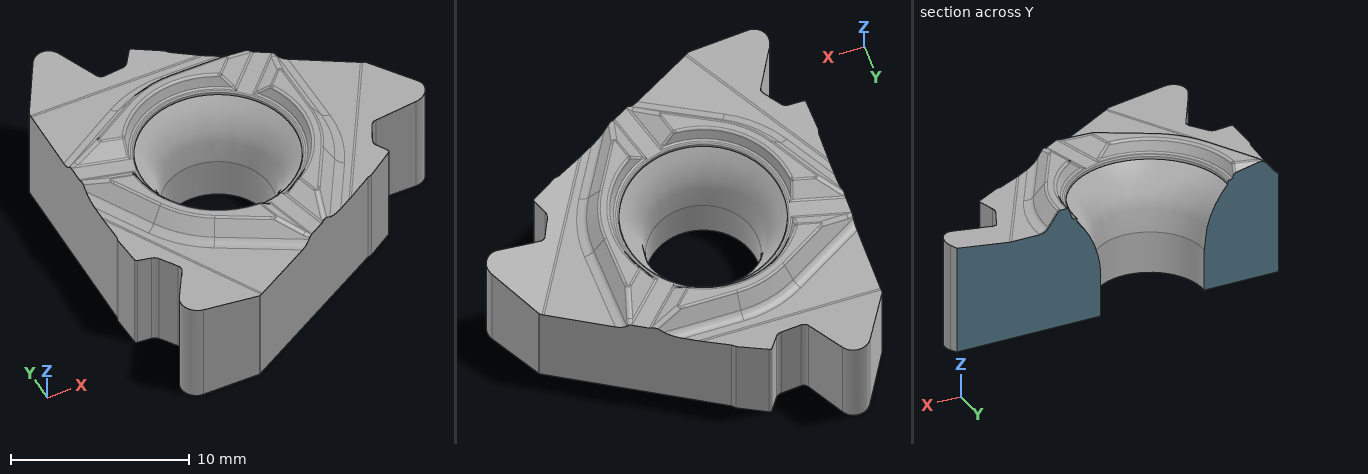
import cadquery as cq
import math


CORNERS = 3
CORNER_STEP = 360 / CORNERS
HEIGHT = 7.5
INSCRIBED_RADIUS = 15.875 / 2
BLANK_RADIUS = 16.0

SIDE_NORMAL = 60
OUTER_FLANK_NORMAL = 30
OUTER_FLANK_DISTANCE = 10.77
INNER_FLANK_NORMAL = -90
INNER_FLANK_DISTANCE = 1.483
TIP_RADIUS = 0.945
VALLEY_MOUTH_X = 8.88
VALLEY_MOUTH_RADIUS = 0.4
VALLEY_BOTTOM = (8.17, -3.02)
VALLEY_BOTTOM_RADIUS = 0.5
LAND_TIP_DISTANCE = 7.91
LAND_TIP_ALONG = 5.46
LAND_TIP_RADIUS = 0.15
LAND_START_DISTANCE = 8.01
LAND_START_ALONG = 3.46
LAND_RAMP_ALONG = 3.19

FLOOR_Z = 6.25
RAKE_NORMAL = -30
RAKE_START = 7.57
RAKE_ANGLE = 9
RAKE_OVERLAP = 0.25
RAKE_BLEND_LENGTH = 0.06

BREAKER_START_NORMAL = -30
BREAKER_END_NORMAL = 1.6
BREAKER_FOOT_RADIUS = 6.74
BREAKER_WALL_ANGLE = 55
BREAKER_FOOT_FILLET = 0.68
BREAKER_TOP_FILLET = 0.18

SLOT_FLOOR_Z = 6.72
SLOT_FLOOR_HALF_WIDTH = 0.55
SLOT_WALL_ANGLE = 40
SLOT_FOOT_ROUND = 0.2
SLOT_DIRECTION = (BREAKER_END_NORMAL + BREAKER_START_NORMAL + CORNER_STEP) / 2
SLOT_OUTER_FILLET = 0.25
SLOT_INNER_FILLET = 0.15
STEP_FOOT_RADIUS = 5.0
STEP_TOP_RADIUS = 5.28
STEP_FOOT_ROUND = 0.13

HOLE_RADIUS = 6.5 / 2
SEAT_ARC_RADIUS = 5.8
SEAT_MOUTH_RADIUS = 4.72
SEAT_MOUTH_Z = 6.47
COLLAR_EDGE_ROUND = 0.08

LEVEL_TOLERANCE = 0.01
CLEARANCE = 1.0


def polar(distance, angle):
    """Point at a distance from the axis in the given direction in degrees."""
    return (distance * math.cos(math.radians(angle)), distance * math.sin(math.radians(angle)))


def turned(point, angle):
    """Point turned about the origin by an angle in degrees."""
    c, s = polar(1, angle)
    return (point[0] * c - point[1] * s, point[0] * s + point[1] * c)


def line_crossing(normal_a, distance_a, normal_b, distance_b):
    """Crossing of two lines, each given by its normal direction and distance from the axis."""
    ax, ay = polar(1, normal_a)
    bx, by = polar(1, normal_b)
    det = ax * by - ay * bx
    return ((distance_a * by - distance_b * ay) / det, (ax * distance_b - bx * distance_a) / det)


def rounded_outline(plane, corners):
    """Closed wire through (point, radius) corners, each rounded by its own radius."""
    pieces = []
    for i, (point, radius) in enumerate(corners):
        here = cq.Vector(*point)
        if radius == 0:
            pieces.append([here])
            continue
        back = (cq.Vector(*corners[i - 1][0]) - here).normalized()
        ahead = (cq.Vector(*corners[(i + 1) % len(corners)][0]) - here).normalized()
        half_angle = back.getAngle(ahead) / 2
        tangent_length = radius / math.tan(half_angle)
        bisector = (back + ahead).normalized()
        middle = here + bisector * (radius / math.sin(half_angle) - radius)
        pieces.append([here + back * tangent_length, middle, here + ahead * tangent_length])
    wire = cq.Workplane(plane).moveTo(*pieces[0][-1].toTuple()[:2])
    for piece in pieces[1:] + pieces[:1]:
        wire = wire.lineTo(*piece[0].toTuple()[:2])
        if len(piece) > 1:
            wire = wire.threePointArc(piece[1].toTuple()[:2], piece[2].toTuple()[:2])
    return wire.close()


def at_each_corner(solid):
    """The solid and its turned copies, one per corner."""
    copies = solid
    for k in range(1, CORNERS):
        copies = copies.union(solid.rotate((0, 0, 0), (0, 0, 1), k * CORNER_STEP))
    return copies


def make_outline():
    """Full-height prism with the plan outline of the insert."""
    next_side = -SIDE_NORMAL

    def on_next_side(distance, along):
        return turned((distance, along), next_side)

    outer_flank = (OUTER_FLANK_NORMAL, OUTER_FLANK_DISTANCE)
    flank_start = line_crossing(SIDE_NORMAL, INSCRIBED_RADIUS, *outer_flank)
    tooth_apex = line_crossing(*outer_flank, INNER_FLANK_NORMAL, INNER_FLANK_DISTANCE)
    corner = [
        (flank_start, 0),
        (tooth_apex, TIP_RADIUS),
        ((VALLEY_MOUTH_X, -INNER_FLANK_DISTANCE), VALLEY_MOUTH_RADIUS),
        (VALLEY_BOTTOM, VALLEY_BOTTOM_RADIUS),
        (on_next_side(LAND_TIP_DISTANCE, LAND_TIP_ALONG), LAND_TIP_RADIUS),
        (on_next_side(LAND_START_DISTANCE, LAND_START_ALONG), 0),
        (on_next_side(INSCRIBED_RADIUS, LAND_RAMP_ALONG), 0),
    ]
    corners = []
    for k in range(CORNERS):
        corners += [(turned(point, -k * CORNER_STEP), radius) for point, radius in corner]
    return rounded_outline("XY", corners).extrude(HEIGHT)


class SlotWallEnds(cq.Selector):
    """Edges at the ends of the slot walls, rising to the top within a range of radii."""

    def __init__(self, inner_radius, outer_radius):
        self.inner_radius = inner_radius
        self.outer_radius = outer_radius

    def filter(self, edges):
        return [edge for edge in edges if self.is_wall_end(edge)]

    def is_wall_end(self, edge):
        box = edge.BoundingBox()
        middle = edge.Center()
        reaches_top = box.zmin > SLOT_FLOOR_Z and box.zmax > HEIGHT - LEVEL_TOLERANCE
        rises = reaches_top and box.zlen > LEVEL_TOLERANCE
        return rises and self.inner_radius < math.hypot(middle.x, middle.y) < self.outer_radius


def make_slots():
    """Cutter for the slots, with flat floors, sloping walls and rounded feet."""
    wall_run = (HEIGHT - SLOT_FLOOR_Z) / math.tan(math.radians(SLOT_WALL_ANGLE))
    top_half = SLOT_FLOOR_HALF_WIDTH + wall_run
    far_half = top_half + CLEARANCE
    above = HEIGHT + CLEARANCE
    section = [
        ((far_half, above), 0),
        ((far_half, HEIGHT), 0),
        ((top_half, HEIGHT), 0),
        ((SLOT_FLOOR_HALF_WIDTH, SLOT_FLOOR_Z), SLOT_FOOT_ROUND),
        ((-SLOT_FLOOR_HALF_WIDTH, SLOT_FLOOR_Z), SLOT_FOOT_ROUND),
        ((-top_half, HEIGHT), 0),
        ((-far_half, HEIGHT), 0),
        ((-far_half, above), 0),
    ]
    slot = rounded_outline("YZ", section).extrude(BLANK_RADIUS)
    return at_each_corner(slot.rotate((0, 0, 0), (0, 0, 1), SLOT_DIRECTION))


def make_breaker():
    """Round blank up to the chip floor, carrying the slotted chip breaker."""
    point_distance = BREAKER_FOOT_RADIUS / math.cos(math.radians(SLOT_DIRECTION - BREAKER_END_NORMAL))
    arc_middle = (BREAKER_START_NORMAL + BREAKER_END_NORMAL) / 2
    foot = cq.Workplane("XY", origin=(0, 0, FLOOR_Z))
    foot = foot.moveTo(*polar(BREAKER_FOOT_RADIUS, BREAKER_START_NORMAL))
    for k in range(CORNERS):
        turn = k * CORNER_STEP
        foot = foot.threePointArc(
            polar(BREAKER_FOOT_RADIUS, arc_middle + turn),
            polar(BREAKER_FOOT_RADIUS, BREAKER_END_NORMAL + turn),
        )
        foot = foot.lineTo(*polar(point_distance, SLOT_DIRECTION + turn))
        foot = foot.lineTo(*polar(BREAKER_FOOT_RADIUS, BREAKER_START_NORMAL + turn + CORNER_STEP))
    wall = foot.close().extrude(HEIGHT - FLOOR_Z, taper=90 - BREAKER_WALL_ANGLE)
    wall = wall.cut(make_slots()).cut(make_hole())
    wall = wall.edges(SlotWallEnds(STEP_TOP_RADIUS, BLANK_RADIUS)).fillet(SLOT_OUTER_FILLET)
    wall = wall.edges(SlotWallEnds(0, STEP_TOP_RADIUS)).fillet(SLOT_INNER_FILLET)
    wall = wall.faces(">Z").edges().fillet(BREAKER_TOP_FILLET)
    blank = cq.Workplane("XY").circle(BLANK_RADIUS).extrude(FLOOR_Z).union(wall)
    reach = BLANK_RADIUS - CLEARANCE
    foot_edges = cq.selectors.BoxSelector(
        (-reach, -reach, FLOOR_Z - LEVEL_TOLERANCE),
        (reach, reach, FLOOR_Z + LEVEL_TOLERANCE),
        boundingbox=True,
    )
    hole_edges = cq.selectors.BoxSelector(
        (-SEAT_MOUTH_RADIUS, -SEAT_MOUTH_RADIUS, 0),
        (SEAT_MOUTH_RADIUS, SEAT_MOUTH_RADIUS, HEIGHT),
    )
    return blank.edges(foot_edges - hole_edges).fillet(BREAKER_FOOT_FILLET)


def make_rake():
    """Wedge that raises the chip face towards the tooth."""
    slope = math.tan(math.radians(RAKE_ANGLE))
    blend_radius = RAKE_BLEND_LENGTH / math.tan(math.radians(RAKE_ANGLE / 2))
    rake_back = RAKE_START - RAKE_OVERLAP
    section = [
        ((rake_back, FLOOR_Z), 0),
        ((RAKE_START, FLOOR_Z), blend_radius),
        ((BLANK_RADIUS, FLOOR_Z + slope * (BLANK_RADIUS - RAKE_START)), 0),
        ((BLANK_RADIUS, 0), 0),
        ((rake_back, 0), 0),
    ]
    wedge = rounded_outline("XZ", section).extrude(BLANK_RADIUS, both=True)
    return wedge.rotate((0, 0, 0), (0, 0, 1), RAKE_NORMAL)


def make_hole():
    """Cutter for the bore, its flared screw seat and the step above it."""
    flare = math.acos(1 - (SEAT_MOUTH_RADIUS - HOLE_RADIUS) / SEAT_ARC_RADIUS)
    seat_start_z = SEAT_MOUTH_Z - SEAT_ARC_RADIUS * math.sin(flare)
    seat_middle = (
        HOLE_RADIUS + SEAT_ARC_RADIUS * (1 - math.cos(flare / 2)),
        seat_start_z + SEAT_ARC_RADIUS * math.sin(flare / 2),
    )
    bore = (
        cq.Workplane("XZ")
        .moveTo(0, -CLEARANCE)
        .lineTo(HOLE_RADIUS, -CLEARANCE)
        .lineTo(HOLE_RADIUS, seat_start_z)
        .threePointArc(seat_middle, (SEAT_MOUTH_RADIUS, SEAT_MOUTH_Z))
        .lineTo(0, SEAT_MOUTH_Z)
        .close()
        .revolve(360, (0, 0), (0, 1))
    )
    rim = STEP_TOP_RADIUS + CLEARANCE
    above = HEIGHT + CLEARANCE
    section = [
        ((0, SEAT_MOUTH_Z), 0),
        ((SEAT_MOUTH_RADIUS, SEAT_MOUTH_Z), 0),
        ((SEAT_MOUTH_RADIUS, SLOT_FLOOR_Z), COLLAR_EDGE_ROUND),
        ((STEP_FOOT_RADIUS, SLOT_FLOOR_Z), STEP_FOOT_ROUND),
        ((STEP_TOP_RADIUS, HEIGHT), 0),
        ((rim, HEIGHT), 0),
        ((rim, above), 0),
        ((0, above), 0),
    ]
    step = rounded_outline("XZ", section).revolve(360, (0, 0), (0, 1))
    return bore.union(step)


outline = make_outline()
rakes = at_each_corner(make_rake().intersect(outline))
result = make_breaker().intersect(outline).union(rakes).cut(make_hole())